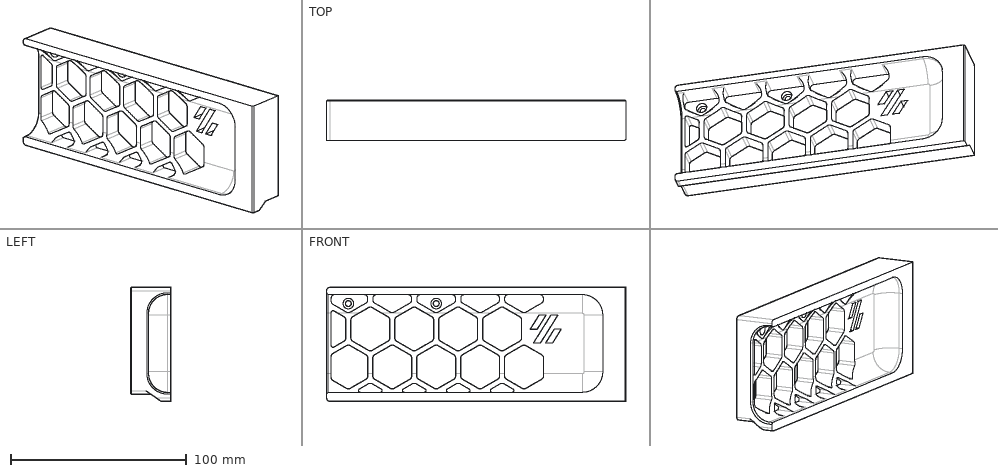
import cadquery as cq
import math

TOLERANCE = 0.01

LENGTH = 170.5
THICKNESS = 23.0
HEIGHT = 65.0

REAR_STEP_HEIGHT = 4.0
SLOPE_FRONT_Y = 5.6
SLOPE_REAR_Y = 11.3

END_CORNER_RADIUS = 2.0
EDGE_CHAMFER = 0.5
FRONT_RIGHT_CHAMFER = 0.7

POCKET_DEPTH = 12.7
POCKET_END_X = 157.3
POCKET_BOTTOM_Z = 5.2
POCKET_TOP_Z = 60.8
POCKET_CORNER_RADIUS = 11.7
POCKET_FLOOR_RADIUS = 10.6
POCKET_LIP_CHAMFER = 1.0

HEX_FLATS = 22.0
HEX_WEB = 3.0
HEX_CORNER_RADIUS = 2.0
SHARP_CORNER_RADIUS = 1.0
HEX_FIRST_X = 12.45
HEX_LOWER_ROW_Z = 19.6
HEX_LEFT_LIMIT = 2.7
HEX_PITCH = HEX_FLATS + HEX_WEB
HEX_ROW_SPACING = HEX_PITCH * math.sqrt(3) / 2
HEX_ACROSS_CORNERS = HEX_FLATS * 2 / math.sqrt(3)
HEX_POINT_UP_ANGLE = 30
CELLS_PER_ROW = 5
BOTTOM_ROW_CELLS = 4

SCREW_DIAMETER = 3.2
SCREW_HEAD_DIAMETER = 6.0
SCREW_HEAD_DEPTH = 3.0
SCREW_Z = 55.7
SCREW_CELLS = (0, 2)

SLOT_WIDTH = 3.85
SLOT_SHORT_HEIGHT = 7.9
SLOT_SLANT = 0.625
SLOT_BOTTOM_Z = 33.3
SLOT_UPPER_X = 116.1
SLOT_LONG_X = 117.9
SLOT_LOWER_X = 124.8


def make_block():
    profile = [
        (0, 0),
        (SLOPE_FRONT_Y, 0),
        (SLOPE_REAR_Y, REAR_STEP_HEIGHT),
        (THICKNESS, REAR_STEP_HEIGHT),
        (THICKNESS, HEIGHT),
        (0, HEIGHT),
    ]
    block = cq.Workplane("YZ").polyline(profile).close().extrude(LENGTH)
    end_edges = block.faces("<X").edges("|Y")
    block = end_edges.fillet(END_CORNER_RADIUS)
    block = block.faces(">Y").edges().chamfer(EDGE_CHAMFER)
    return block.faces("<Y").edges(">X").chamfer(FRONT_RIGHT_CHAMFER)


def front_box(x_min, x_max, y_min, y_max, z_min, z_max):
    size = (x_max - x_min, y_max - y_min, z_max - z_min)
    return cq.Workplane("XY").box(*size, centered=False).translate((x_min, y_min, z_min))


def cut_pocket(block):
    overrun = POCKET_CORNER_RADIUS
    pocket = front_box(
        -overrun, POCKET_END_X, -overrun, POCKET_DEPTH, POCKET_BOTTOM_Z, POCKET_TOP_Z
    )
    pocket = pocket.edges("|Y and >X").fillet(POCKET_CORNER_RADIUS)
    floor_edges = pocket.faces(">Y").edges("not(<X)")
    pocket = floor_edges.fillet(POCKET_FLOOR_RADIUS)
    block = block.cut(pocket)
    lip = cq.selectors.BoxSelector(
        (-TOLERANCE, 0, POCKET_BOTTOM_Z - TOLERANCE),
        (TOLERANCE, POCKET_DEPTH + TOLERANCE, POCKET_TOP_Z + TOLERANCE),
    )
    lip_edges = block.edges(lip)
    return lip_edges.chamfer(POCKET_LIP_CHAMFER)


def touches_limit(edge):
    middle = edge.Center()
    distances = (
        middle.x - HEX_LEFT_LIMIT,
        middle.z - POCKET_BOTTOM_Z,
        middle.z - POCKET_TOP_Z,
    )
    return min(abs(distance) for distance in distances) < TOLERANCE


def hex_cell(x, z, y_rear, limit_radius):
    cell = cq.Workplane("XZ").transformed(rotate=(0, 0, HEX_POINT_UP_ANGLE))
    cell = cell.polygon(6, HEX_ACROSS_CORNERS).extrude(-y_rear).translate((x, 0, z))
    limits = front_box(HEX_LEFT_LIMIT, LENGTH, 0, y_rear, POCKET_BOTTOM_Z, POCKET_TOP_Z)
    cell = cell.intersect(limits)
    hex_corners = cell.edges("|Y").filter(lambda edge: not touches_limit(edge))
    cell = hex_corners.fillet(HEX_CORNER_RADIUS)
    limit_corners = cell.edges("|Y").filter(touches_limit)
    if limit_corners.size() > 0:
        cell = limit_corners.fillet(limit_radius)
    return cell


def cut_row(part, first_x, z, count, y_rear, limit_radius):
    for index in range(count):
        part = part.cut(hex_cell(first_x + index * HEX_PITCH, z, y_rear, limit_radius))
    return part


def cut_honeycomb(part):
    half_pitch = HEX_PITCH / 2
    lower_z = HEX_LOWER_ROW_Z
    upper_z = lower_z + HEX_ROW_SPACING
    top_z = upper_z + HEX_ROW_SPACING
    bottom_z = lower_z - HEX_ROW_SPACING
    left_x = HEX_FIRST_X - half_pitch
    right_x = HEX_FIRST_X + half_pitch
    part = cut_row(part, HEX_FIRST_X, lower_z, CELLS_PER_ROW, THICKNESS, HEX_CORNER_RADIUS)
    part = cut_row(part, left_x, upper_z, CELLS_PER_ROW, THICKNESS, SHARP_CORNER_RADIUS)
    part = cut_row(part, HEX_FIRST_X, top_z, CELLS_PER_ROW, POCKET_DEPTH, HEX_CORNER_RADIUS)
    return cut_row(part, right_x, bottom_z, BOTTOM_ROW_CELLS, POCKET_DEPTH, SHARP_CORNER_RADIUS)


def cut_screw_holes(part):
    for cell in SCREW_CELLS:
        x = HEX_FIRST_X + cell * HEX_PITCH
        seat = cq.Workplane("XZ", origin=(x, POCKET_DEPTH, SCREW_Z))
        head = seat.circle(SCREW_HEAD_DIAMETER / 2).extrude(-SCREW_HEAD_DEPTH)
        shank = seat.circle(SCREW_DIAMETER / 2).extrude(-THICKNESS)
        part = part.cut(head).cut(shank)
    return part


def vent_slot(left_x, height, bottom_z):
    shift = height * SLOT_SLANT
    top_z = bottom_z + height
    outline = [
        (left_x, bottom_z),
        (left_x + SLOT_WIDTH, bottom_z),
        (left_x + SLOT_WIDTH + shift, top_z),
        (left_x + shift, top_z),
    ]
    return cq.Workplane("XZ").polyline(outline).close().extrude(-THICKNESS)


def cut_vent_slots(part):
    upper_z = SLOT_BOTTOM_Z + SLOT_SHORT_HEIGHT
    part = part.cut(vent_slot(SLOT_UPPER_X, SLOT_SHORT_HEIGHT, upper_z))
    part = part.cut(vent_slot(SLOT_LONG_X, 2 * SLOT_SHORT_HEIGHT, SLOT_BOTTOM_Z))
    return part.cut(vent_slot(SLOT_LOWER_X, SLOT_SHORT_HEIGHT, SLOT_BOTTOM_Z))


part = cut_pocket(make_block())
part = cut_honeycomb(part)
part = cut_screw_holes(part)
result = cut_vent_slots(part)